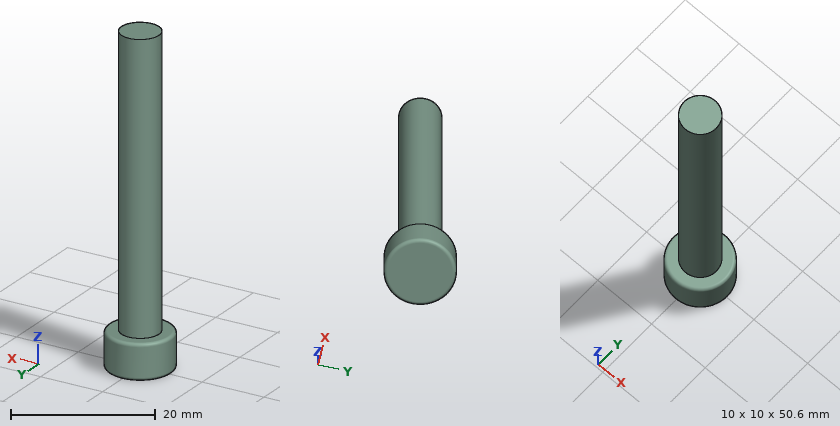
import cadquery as cq

total_length = 50.6
head_diameter = 10.0
head_height = 5.6
shank_diameter = 6.0
edge_radius = 0.5

head = (
    cq.Workplane("XY")
    .circle(head_diameter / 2)
    .extrude(head_height)
    .edges()
    .fillet(edge_radius)
)

shank = (
    cq.Workplane("XY")
    .workplane(offset=head_height)
    .circle(shank_diameter / 2)
    .extrude(total_length - head_height)
)

result = head.union(shank)